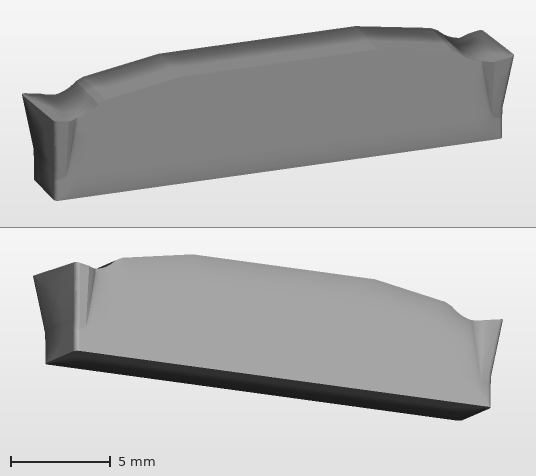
import cadquery as cq
import math

length = 24.93
head_width = 4.0
height = 5.78

shank_width = 3.25
shank_length = 23.93
corner_radius = 0.22

flat_half_length = 5.24
ramp_end_y = 9.27
ramp_end_z = 5.1
groove_top_y = 9.65
groove_top_z = 4.94
land_inner_y = 11.4
land_inner_z = 4.36
tip_z = 4.54

tip_overhang = 0.022
side_overhang = 0.01
edge_skew = 0.35
front_clearance_z = 1.65
head_foot_z = 0.62
crease_y = 11.37
back_top_y = 10.72
back_slope = 0.16
side_slope = 0.11
side_relief = 0.02
back_width = 3.2
back_step = 0.07

half_length = length / 2
shank_end_y = shank_length / 2


def build_shank():
    """Plain bar with rounded vertical corners."""
    bar = cq.Workplane("XY").box(shank_width, shank_length, height, centered=(True, True, False))
    return bar.edges("|Z").fillet(corner_radius)


def head_section(z, front_left_y, front_right_y):
    """Horizontal section of the head at the -Y end, with rounded front corners."""
    drop = tip_z - z
    half_width = head_width / 2 + side_overhang - side_slope * drop
    crease_half = half_width - side_relief
    back_half = min(back_width / 2, crease_half - back_step)
    back_y = back_top_y + back_slope * drop
    outline = [
        (-half_width, -front_left_y),
        (half_width, -front_right_y),
        (crease_half, -crease_y),
        (back_half, -back_y),
        (-back_half, -back_y),
        (-crease_half, -crease_y),
    ]
    corners = [cq.Vector(x, y, z) for x, y in outline]
    wire = cq.Wire.makePolygon(corners, close=True)
    front_corners = [v for v in wire.Vertices() if v.Y < -crease_y - corner_radius]
    return wire.fillet2D(corner_radius, front_corners)


def build_head():
    """Tapered head whose front face twists from the skewed edge to the square shank end."""
    tip_y = half_length + tip_overhang
    top = head_section(tip_z, tip_y, tip_y - edge_skew)
    middle = head_section(front_clearance_z, shank_end_y, shank_end_y)
    foot = head_section(head_foot_z, shank_end_y, shank_end_y)
    upper = cq.Workplane(cq.Solid.makeLoft([top, middle], True))
    lower = cq.Workplane(cq.Solid.makeLoft([middle, foot], True))
    return upper.union(lower)


def build_envelope():
    """Side outline with rake lands, chip grooves and ramps, extruded across the width."""
    rake = cq.Vector(land_inner_y - half_length, land_inner_z - tip_z)
    groove_chord = cq.Vector(groove_top_y - land_inner_y, groove_top_z - land_inner_z)
    rake_angle = math.atan2(rake.y, -rake.x)
    chord_angle = math.atan2(groove_chord.y, -groove_chord.x)
    half_turn = chord_angle - rake_angle
    sagitta = groove_chord.Length / 2 * math.tan(half_turn / 2)
    groove_mid = (
        (land_inner_y + groove_top_y) / 2 - sagitta * math.sin(chord_angle),
        (land_inner_z + groove_top_z) / 2 - sagitta * math.cos(chord_angle),
    )
    end_outline = (
        cq.Workplane("YZ")
        .moveTo(0, 0)
        .lineTo(half_length, 0)
        .lineTo(half_length, tip_z)
        .lineTo(land_inner_y, land_inner_z)
        .threePointArc(groove_mid, (groove_top_y, groove_top_z))
        .lineTo(ramp_end_y, ramp_end_z)
        .lineTo(flat_half_length, height)
        .lineTo(0, height)
        .close()
        .extrude(head_width, both=True)
    )
    return end_outline.union(end_outline.mirror("XZ"))


head = build_head()
opposite_head = head.rotate((0, 0, 0), (0, 0, 1), 180)
result = build_shank().union(head).union(opposite_head).intersect(build_envelope()).clean()